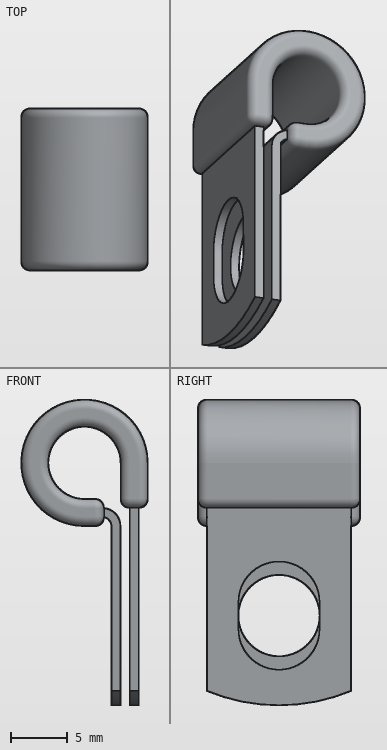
import cadquery as cq
import math

strip_thickness = 0.8128
strip_width = 12.7
leg_gap = 0.79375
leg_end_depth = 21.355
leg_end_radius = 16.5
bend_inner_radius = 0.79375

coating = 0.79375
bore_radius = 3.175
straight_end_depth = 3.96875
lip_length = 1.72

hole_diameter = 7.14375
hole_depth = 13.45
slot_travel = 2.38125

sleeve_width = strip_width + 2 * coating
sleeve_outer_radius = bore_radius + strip_thickness + 2 * coating
strip_inner_radius = bore_radius + coating
strip_outer_radius = strip_inner_radius + strip_thickness
bend_outer_radius = bend_inner_radius + strip_thickness
straight_leg_x = strip_inner_radius
bent_leg_x = straight_leg_x - leg_gap - strip_thickness
bend_centre_x = bent_leg_x - bend_inner_radius
bend_centre_z = -strip_inner_radius - bend_outer_radius


def loop_profile(inner_radius, outer_radius, leg_depth, lip):
    """Three-quarter ring about Y with a vertical leg on +X and a horizontal lip at the bottom."""
    inner_diagonal = inner_radius * math.sqrt(0.5)
    outer_diagonal = outer_radius * math.sqrt(0.5)
    return (
        cq.Workplane("XZ")
        .moveTo(inner_radius, -leg_depth)
        .lineTo(inner_radius, 0)
        .threePointArc((-inner_diagonal, inner_diagonal), (0, -inner_radius))
        .lineTo(lip, -inner_radius)
        .lineTo(lip, -outer_radius)
        .lineTo(0, -outer_radius)
        .threePointArc((-outer_diagonal, outer_diagonal), (outer_radius, 0))
        .lineTo(outer_radius, -leg_depth)
        .close()
    )


def make_sleeve():
    """Cushion wrapped round the loop, with every outside edge rounded."""
    sleeve = loop_profile(bore_radius, sleeve_outer_radius, straight_end_depth, lip_length)
    sleeve = sleeve.extrude(sleeve_width / 2, both=True)
    mid_radius = (bore_radius + sleeve_outer_radius) / 2
    edges_to_round = sleeve.faces("|Y").edges()
    for end_centre in ((mid_radius, 0, -straight_end_depth), (lip_length, 0, -mid_radius)):
        end_face = sleeve.faces(cq.NearestToPointSelector(end_centre))
        edges_to_round = edges_to_round.add(end_face.edges("|Y"))
    return edges_to_round.fillet(coating)


def make_straight_leg():
    """Leg that runs straight down from the +X side of the loop."""
    return (
        cq.Workplane("XZ")
        .moveTo(straight_leg_x, 0)
        .lineTo(straight_leg_x, -leg_end_depth)
        .lineTo(strip_outer_radius, -leg_end_depth)
        .lineTo(strip_outer_radius, 0)
        .close()
        .extrude(strip_width / 2, both=True)
    )


def make_bent_leg():
    """Leg that leaves the loop along +X and turns down beside the straight leg."""
    inner_x = bent_leg_x
    outer_x = bent_leg_x + strip_thickness
    return (
        cq.Workplane("XZ")
        .moveTo(0, -strip_inner_radius)
        .lineTo(bend_centre_x, -strip_inner_radius)
        .radiusArc((outer_x, bend_centre_z), bend_outer_radius)
        .lineTo(outer_x, -leg_end_depth)
        .lineTo(inner_x, -leg_end_depth)
        .lineTo(inner_x, bend_centre_z)
        .radiusArc((bend_centre_x, -strip_outer_radius), -bend_inner_radius)
        .lineTo(0, -strip_outer_radius)
        .close()
        .extrude(strip_width / 2, both=True)
    )


def make_leg_outline():
    """Block through both legs whose lower end is the rounded end of the strip."""
    half_width = strip_width / 2
    end_rise = leg_end_radius - math.sqrt(leg_end_radius**2 - half_width**2)
    corner_z = end_rise - leg_end_depth
    return (
        cq.Workplane("YZ")
        .moveTo(-half_width, 0)
        .lineTo(-half_width, corner_z)
        .threePointArc((0, -leg_end_depth), (half_width, corner_z))
        .lineTo(half_width, 0)
        .close()
        .extrude(strip_outer_radius)
    )


def make_round_hole():
    """Cutter for the round hole in the bent leg."""
    return (
        cq.Workplane("YZ", origin=(bent_leg_x, 0, -hole_depth))
        .circle(hole_diameter / 2)
        .extrude(strip_thickness)
    )


def make_slot():
    """Cutter for the vertical slot in the straight leg, centred behind the round hole."""
    return (
        cq.Workplane("YZ", origin=(straight_leg_x, 0, -hole_depth))
        .slot2D(slot_travel + hole_diameter, hole_diameter, 90)
        .extrude(strip_thickness)
    )


legs = make_straight_leg().union(make_bent_leg()).intersect(make_leg_outline())
legs = legs.cut(make_round_hole()).cut(make_slot())
result = make_sleeve().union(legs)